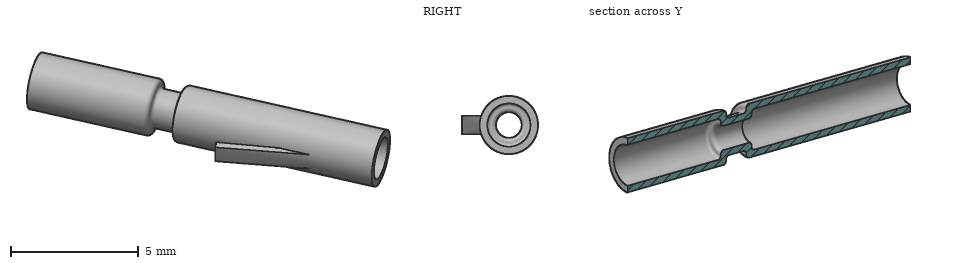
import cadquery as cq
import math

length = 14.3
outer_radius = 2.3 / 2
bore_radius = 1.7 / 2
wall = outer_radius - bore_radius

neck_radius = 1.6 / 2
throat_radius = 1.0 / 2
neck_start = 5.0
neck_end = 5.99
convex_bend = 0.17
concave_bend = 0.13

tongue_angle = 10.9
tongue_thickness = wall
tongue_width = 0.75
tongue_root_x = 11.68
tongue_tip_y = -(3.0 - outer_radius)


def stepped_cylinder(end_radius, middle_radius, start, end, shoulder_bend, root_bend):
    """Round bar along X with a narrower middle between start and end, rounded at each step."""
    diagonal = math.sqrt(0.5)
    near_mid = 1 - diagonal

    def shoulder_middle(x, direction):
        return (x - direction * near_mid * shoulder_bend, end_radius - near_mid * shoulder_bend)

    def root_middle(x, direction):
        return (x + direction * near_mid * root_bend, middle_radius + near_mid * root_bend)

    profile = (
        cq.Workplane("XY")
        .polyline([(0, 0), (0, end_radius), (start - shoulder_bend, end_radius)])
        .threePointArc(shoulder_middle(start, 1), (start, end_radius - shoulder_bend))
        .lineTo(start, middle_radius + root_bend)
        .threePointArc(root_middle(start, 1), (start + root_bend, middle_radius))
        .lineTo(end - root_bend, middle_radius)
        .threePointArc(root_middle(end, -1), (end, middle_radius + root_bend))
        .lineTo(end, end_radius - shoulder_bend)
        .threePointArc(shoulder_middle(end, -1), (end + shoulder_bend, end_radius))
        .lineTo(length, end_radius)
        .lineTo(length, 0)
        .close()
    )
    return profile.revolve(360, (0, 0, 0), (1, 0, 0))


def make_tongue():
    """Slanted strip: flat at its square-cut tip, curved like the tube where it leaves the wall."""
    angle = math.radians(tongue_angle)
    root_y = -outer_radius
    tip_x = tongue_root_x - (root_y - tongue_tip_y) / math.tan(angle)
    inner_tip_x = tip_x - tongue_thickness * math.sin(angle)
    inner_tip_y = tongue_tip_y + tongue_thickness * math.cos(angle)
    inner_root_y = root_y + tongue_thickness / math.cos(angle)
    half_width = tongue_width / 2
    root_side_y = -math.sqrt(outer_radius**2 - half_width**2)

    tip_corners = [
        cq.Vector(tip_x, tongue_tip_y, -half_width),
        cq.Vector(tip_x, tongue_tip_y, half_width),
        cq.Vector(inner_tip_x, inner_tip_y, half_width),
        cq.Vector(inner_tip_x, inner_tip_y, -half_width),
    ]
    tip = cq.Wire.makePolygon(tip_corners, close=True)

    root_corners = [
        cq.Vector(tongue_root_x, root_side_y, half_width),
        cq.Vector(tongue_root_x, inner_root_y, half_width),
        cq.Vector(tongue_root_x, inner_root_y, -half_width),
        cq.Vector(tongue_root_x, root_side_y, -half_width),
    ]
    root_arc = cq.Edge.makeThreePointArc(
        root_corners[-1], cq.Vector(tongue_root_x, root_y, 0), root_corners[0]
    )
    root_sides = [cq.Edge.makeLine(p, q) for p, q in zip(root_corners, root_corners[1:])]
    root = cq.Wire.assembleEdges([root_arc] + root_sides)
    return cq.Workplane(cq.Solid.makeLoft([tip, root], True))


outside = stepped_cylinder(
    outer_radius, neck_radius, neck_start, neck_end, convex_bend, concave_bend
)
bore = stepped_cylinder(
    bore_radius, throat_radius, neck_start - wall, neck_end + wall, concave_bend, convex_bend
)

result = outside.union(make_tongue()).cut(bore)